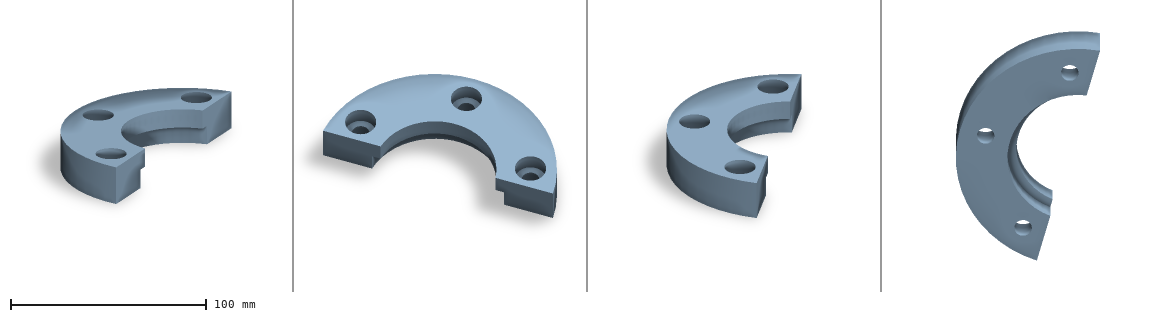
import cadquery as cq
import math

length = 124.6
width = 57.5
height = 20.0

half_length = length / 2
outer_radius = (width**2 + half_length**2) / (2 * width)
end_face_x = width - outer_radius

bore_radius = 31.5
recess_radius = 36.1
recess_depth = 10.1

bolt_circle_radius = 49.0
hole_spacing_angle = 70.0
hole_diameter = 9.0
counterbore_diameter = 16.0
counterbore_depth = 9.0


def ring_segment():
    ring = cq.Workplane("XY").circle(outer_radius).circle(bore_radius).extrude(height)
    recess = cq.Workplane("XY").circle(recess_radius).extrude(recess_depth)
    kept_side = (
        cq.Workplane("XY")
        .box(outer_radius, 2 * outer_radius, height, centered=(False, True, False))
        .translate((end_face_x - outer_radius, 0, 0))
    )
    return ring.cut(recess).intersect(kept_side)


def screw_hole_centers():
    centers = []
    for step in (-1, 0, 1):
        angle = math.radians(180 + step * hole_spacing_angle)
        x = bolt_circle_radius * math.cos(angle)
        y = bolt_circle_radius * math.sin(angle)
        centers.append((x, y))
    return centers


result = (
    ring_segment()
    .faces(">Z")
    .workplane(origin=(0, 0, height))
    .pushPoints(screw_hole_centers())
    .cboreHole(hole_diameter, counterbore_diameter, counterbore_depth)
)